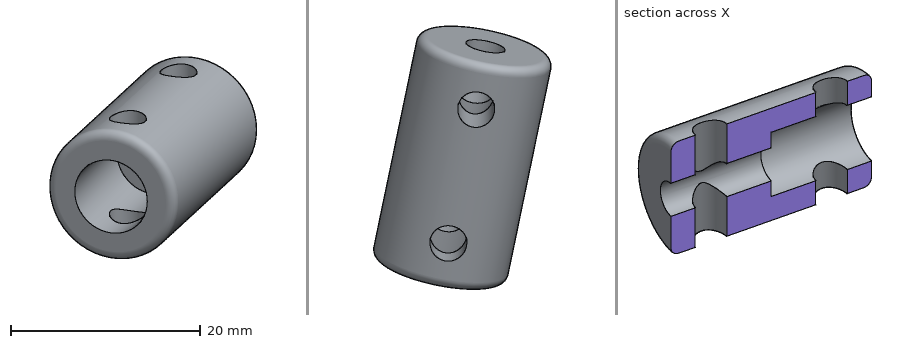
import cadquery as cq

outer_diameter = 14.5
length = 25.0
rim_radius = 1.0

large_bore_diameter = 8.2
small_bore_diameter = 4.2
large_bore_depth = length / 2

cross_hole_diameter = 3.9
cross_hole_end_distance = 5.0
cross_hole_y = length / 2 - cross_hole_end_distance


def cylinder_along_y(diameter, start_y, cylinder_length):
    """Cylinder on the Y axis, running from start_y towards +Y."""
    start_plane = cq.Plane(origin=(0, start_y, 0), xDir=(1, 0, 0), normal=(0, 1, 0))
    return cq.Workplane(start_plane).circle(diameter / 2).extrude(cylinder_length)


def sleeve_body():
    """Solid sleeve with rounded rims."""
    body = cylinder_along_y(outer_diameter, -length / 2, length)
    return body.faces("<Y or >Y").edges().fillet(rim_radius)


def stepped_bore():
    """Narrow bore through the full length, widened from the -Y end."""
    small_bore = cylinder_along_y(small_bore_diameter, -length / 2, length)
    large_bore = cylinder_along_y(large_bore_diameter, -length / 2, large_bore_depth)
    return small_bore.union(large_bore)


def cross_holes():
    """Two holes along Z, one near each end, passing through both walls."""
    return (
        cq.Workplane("XY")
        .pushPoints([(0, -cross_hole_y), (0, cross_hole_y)])
        .circle(cross_hole_diameter / 2)
        .extrude(outer_diameter / 2, both=True)
    )


result = sleeve_body().cut(stepped_bore()).cut(cross_holes())